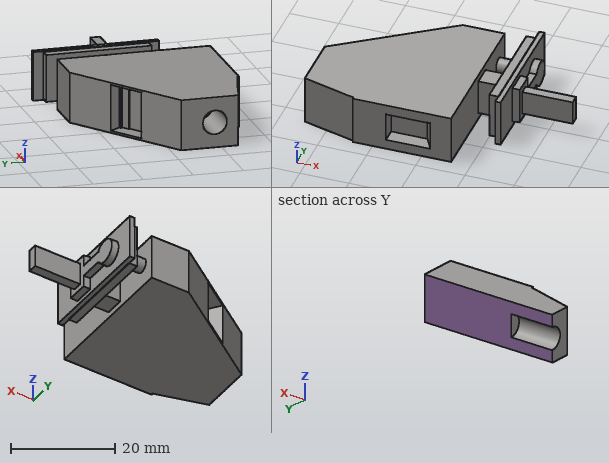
import cadquery as cq
import math

TOTAL_LENGTH = 49.8
BODY_LENGTH = 31.0
STEM_LENGTH = 4.05
GASKET_THICKNESS = 1.9
PLATE_THICKNESS = 1.1
BOSS_HEIGHT = 1.5
GASKET_X = BODY_LENGTH + STEM_LENGTH
PLATE_X = GASKET_X + GASKET_THICKNESS
BOSS_X = PLATE_X + PLATE_THICKNESS
PRONG_X = BOSS_X + BOSS_HEIGHT

BODY_WIDTH = 30.5
BODY_HEIGHT = 10.1
NOSE_BOTTOM = 3.4
NOSE_TOP = 14.7
SLOPE_END_X = 22.45
TAPER_END_X = 10.95
TAPER_LIP = 0.4

CABLE_DIAMETER = 4.8
CABLE_Y = 8.0
CABLE_DEPTH = 9.95

POCKET_START_X = 17.75
POCKET_FLOOR_END_X = 25.1
POCKET_MOUTH_END_X = 26.75
POCKET_DEPTH = 3.0
POCKET_HEIGHT = 5.95

SLOT_TOP_Y = 24.65
SLOT_LENGTH = 7.45
SLOT_HEIGHT = 9.2
SLOT_DEPTH = 2.5
FIRST_LEDGE = 0.45
FIRST_STEP = 0.45
SECOND_LEDGE = 1.55
SECOND_STEP = 0.3

GASKET_WIDTH = 21.0
GASKET_HEIGHT = 9.45
PLATE_WIDTH = 25.05
PLATE_HEIGHT = 9.8
FLANGE_Y = 20.99

ROUND_Y = 27.0
BLADE_Y = 17.5
ROUND_STEM_DIAMETER = 3.0
BLOCK_STEM_WIDTH = 4.1
BLOCK_STEM_HEIGHT = 7.35
ROUND_BOSS_DIAMETER = 5.25
BLOCK_BOSS_WIDTH = 4.55
BLOCK_BOSS_HEIGHT = 7.7
BOSS_DRAFT = 3.0
LINK_HEIGHT = 2.5
PRONG_WIDTH = 2.0
PRONG_HEIGHT = 5.0


def plane_at(x, y):
    """Sketch plane facing +X, with sketch axes along Y and Z."""
    return cq.Workplane("YZ", origin=(x, y, 0))


def block(x, length, y, width, height):
    return plane_at(x, y).rect(width, height).extrude(length)


def prism(points, height):
    """Plan outline extruded symmetrically about Z = 0."""
    return cq.Workplane("XY").polyline(points).close().extrude(height / 2, both=True)


def housing():
    return prism(
        [
            (0, NOSE_BOTTOM),
            (TAPER_END_X, TAPER_LIP),
            (TAPER_END_X, 0),
            (BODY_LENGTH, 0),
            (BODY_LENGTH, BODY_WIDTH),
            (SLOPE_END_X, BODY_WIDTH),
            (0, NOSE_TOP),
        ],
        BODY_HEIGHT,
    )


def cable_hole():
    return plane_at(0, CABLE_Y).circle(CABLE_DIAMETER / 2).extrude(CABLE_DEPTH)


def side_pocket():
    return prism(
        [
            (POCKET_START_X, 0),
            (POCKET_MOUTH_END_X, 0),
            (POCKET_FLOOR_END_X, POCKET_DEPTH),
            (POCKET_START_X, POCKET_DEPTH),
        ],
        POCKET_HEIGHT,
    )


def stepped_slot():
    rise = BODY_WIDTH - NOSE_TOP
    slope_angle = math.atan2(rise, SLOPE_END_X)
    top_x = (SLOT_TOP_Y - NOSE_TOP) / math.tan(slope_angle)

    def on_slope(along, depth):
        """Point at a distance down the slope and a depth below its surface."""
        x = top_x - along * math.cos(slope_angle) + depth * math.sin(slope_angle)
        y = SLOT_TOP_Y - along * math.sin(slope_angle) - depth * math.cos(slope_angle)
        return (x, y)

    second_start = FIRST_LEDGE + SECOND_LEDGE
    middle_depth = SLOT_DEPTH + FIRST_STEP
    full_depth = middle_depth + SECOND_STEP
    profile = [
        (0, 0),
        (0, SLOT_DEPTH),
        (FIRST_LEDGE, SLOT_DEPTH),
        (FIRST_LEDGE, middle_depth),
        (second_start, middle_depth),
        (second_start, full_depth),
        (SLOT_LENGTH, full_depth),
        (SLOT_LENGTH, 0),
    ]
    return prism([on_slope(along, depth) for along, depth in profile], SLOT_HEIGHT)


def stems():
    round_stem = plane_at(BODY_LENGTH, ROUND_Y).circle(ROUND_STEM_DIAMETER / 2).extrude(STEM_LENGTH)
    block_stem = block(BODY_LENGTH, STEM_LENGTH, BLADE_Y, BLOCK_STEM_WIDTH, BLOCK_STEM_HEIGHT)
    return round_stem.union(block_stem)


def flange():
    gasket = block(GASKET_X, GASKET_THICKNESS, FLANGE_Y, GASKET_WIDTH, GASKET_HEIGHT)
    plate = block(PLATE_X, PLATE_THICKNESS, FLANGE_Y, PLATE_WIDTH, PLATE_HEIGHT)
    return gasket.union(plate)


def bosses():
    round_boss = (
        plane_at(BOSS_X, ROUND_Y).circle(ROUND_BOSS_DIAMETER / 2).extrude(BOSS_HEIGHT, taper=BOSS_DRAFT)
    )
    block_boss = (
        plane_at(BOSS_X, BLADE_Y)
        .rect(BLOCK_BOSS_WIDTH, BLOCK_BOSS_HEIGHT)
        .extrude(BOSS_HEIGHT, taper=BOSS_DRAFT)
    )
    link = block(BOSS_X, BOSS_HEIGHT, (ROUND_Y + BLADE_Y) / 2, ROUND_Y - BLADE_Y, LINK_HEIGHT)
    return round_boss.union(block_boss).union(link)


def prong():
    return block(PRONG_X, TOTAL_LENGTH - PRONG_X, BLADE_Y, PRONG_WIDTH, PRONG_HEIGHT)


result = housing()
for cavity in (cable_hole(), side_pocket(), stepped_slot()):
    result = result.cut(cavity)
for solid in (stems(), flange(), bosses(), prong()):
    result = result.union(solid)